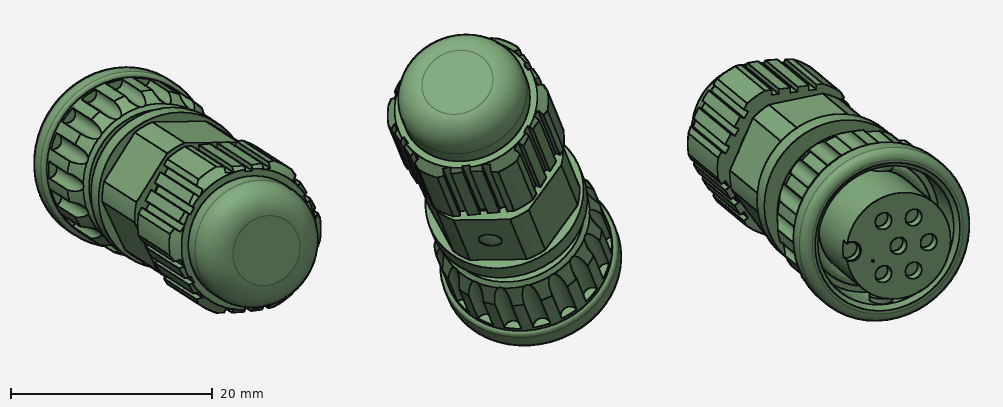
import cadquery as cq
import math

LENGTH = 43.2

MARK_HEIGHT = 0.2
MARK_RADIUS = 0.1
MARK_Y = 2.75
MARK_Z = -1.2
FACE_X = MARK_HEIGHT
INSERT_RADIUS = 5.55
CONTACT_RADIUS = 0.85
CONTACT_DEPTH = 1.12
CONTACT_PITCH_RADIUS = 3.2
CIRCLE_PLACES = 6
KEYWAY_RADIUS = 0.95
KEYWAY_Y = 5.0
KEYWAY_DEPTH = 1.0
KEYWAY_CHAMFER = 0.1

RING_FRONT_X = 3.3
BEAD_DIAMETER = 18.0
BEAD_RADIUS = BEAD_DIAMETER / 2
BEAD_ROUND = 1.0
BEAD_REAR_X = 6.25
BEAD_REAR_ROUND = 0.45
GRIP_RADIUS = 8.5
GRIP_TAPER_X = 11.6
GRIP_END_X = 13.82
GRIP_END_RADIUS = 7.7
RING_REAR_X = 14.2
RING_REAR_RADIUS = 7.2
FLUTE_COUNT = 18
FLUTE_RADIUS = 0.85
FLUTE_START_X = 6.75

SOCKET_RADIUS = 7.2
SOCKET_CHAMFER = 0.48
SOCKET_FLOOR_X = 8.0
SEAL_RADIUS = 0.5
PIN_X = 5.05
PIN_RADIUS = 1.15
PIN_TIP_RADIUS = 6.65

NECK_RADIUS = 6.18
FLANGE_X = 16.65
FLANGE_RADIUS = 8.0
HEX_X = 18.65
HEX_END_X = 27.2
HEX_APOTHEM = 7.05
HEX_CORNER_RADIUS = 7.6
HEX_TURN = 5.0
SCREW_X = 22.85
SCREW_RADIUS = 1.15
SCREW_HEIGHT = 0.4
REAR_NECK_RADIUS = 6.05

NUT_X = 29.35
NUT_END_X = 38.6
NUT_APOTHEM = 7.5
NUT_CORNER_RADIUS = 8.1
NUT_END_RADIUS = 7.2
NUT_CHAMFER_LENGTH = 1.0
NUT_GROOVE_WIDTH = 0.78
NUT_GROOVE_PITCH = 2.0
NUT_GROOVE_DEPTH = 0.5

CLAMP_RADIUS = 6.5
CLAMP_ROUND = 2.9

HEX_SIDES = 6
X_AXIS = cq.Vector(1, 0, 0)
ORIGIN = cq.Vector(0, 0, 0)


def rod(x_start, x_end, radius, y=0.0, z=0.0):
    """Cylinder parallel to X between two stations."""
    return cq.Workplane("YZ", origin=(x_start, y, z)).circle(radius).extrude(x_end - x_start)


def turned(profile):
    """Revolve a closed (x, radius) outline about the X axis."""
    return profile.close().revolve(360, (0, 0, 0), (1, 0, 0))


def about_x(shape, angle):
    return shape.rotate(ORIGIN, X_AXIS, angle)


def rounded_hex(x_start, x_end, apothem, corner_radius):
    """Hexagonal bar along X with flats facing +Z and -Z and its corners turned round."""
    corner_diameter = 2 * apothem / math.cos(math.pi / HEX_SIDES)
    bar = (
        cq.Workplane("YZ", origin=(x_start, 0, 0))
        .polygon(HEX_SIDES, corner_diameter)
        .extrude(x_end - x_start)
    )
    return bar.intersect(rod(x_start, x_end, corner_radius))


def make_coupling_ring():
    front_inset = BEAD_ROUND * (1 - math.sqrt(0.5))
    rear_inset = BEAD_REAR_ROUND * (1 - math.sqrt(0.5))
    front_mid = (RING_FRONT_X + front_inset, BEAD_RADIUS - front_inset)
    rear_mid = (BEAD_REAR_X - rear_inset, BEAD_RADIUS - rear_inset)
    ring = turned(
        cq.Workplane("XY")
        .moveTo(RING_FRONT_X, 0)
        .lineTo(RING_FRONT_X, BEAD_RADIUS - BEAD_ROUND)
        .threePointArc(front_mid, (RING_FRONT_X + BEAD_ROUND, BEAD_RADIUS))
        .lineTo(BEAD_REAR_X - BEAD_REAR_ROUND, BEAD_RADIUS)
        .threePointArc(rear_mid, (BEAD_REAR_X, BEAD_RADIUS - BEAD_REAR_ROUND))
        .lineTo(BEAD_REAR_X, GRIP_RADIUS)
        .lineTo(GRIP_TAPER_X, GRIP_RADIUS)
        .lineTo(GRIP_END_X, GRIP_END_RADIUS)
        .lineTo(RING_REAR_X, RING_REAR_RADIUS)
        .lineTo(RING_REAR_X, 0)
    )
    flute = rod(FLUTE_START_X, RING_REAR_X, FLUTE_RADIUS, y=-GRIP_RADIUS)
    for i in range(FLUTE_COUNT):
        ring = ring.cut(about_x(flute, i * 360 / FLUTE_COUNT))
    socket = turned(
        cq.Workplane("XY")
        .moveTo(RING_FRONT_X, 0)
        .lineTo(RING_FRONT_X, SOCKET_RADIUS + SOCKET_CHAMFER)
        .lineTo(RING_FRONT_X + SOCKET_CHAMFER, SOCKET_RADIUS)
        .lineTo(SOCKET_FLOOR_X, SOCKET_RADIUS)
        .lineTo(SOCKET_FLOOR_X, 0)
    )
    return ring.cut(socket)


def make_bayonet_pin(side):
    """Radial pin reaching from the socket wall towards the insert."""
    root_radius = SOCKET_RADIUS + SOCKET_CHAMFER
    return (
        cq.Workplane("XY", origin=(PIN_X, 0, side * PIN_TIP_RADIUS))
        .circle(PIN_RADIUS)
        .extrude(side * (root_radius - PIN_TIP_RADIUS))
    )


def make_seal():
    """O-ring around the insert, half sunk in the socket floor."""
    ring_radius = INSERT_RADIUS + SEAL_RADIUS
    section = cq.Workplane("XY").center(SOCKET_FLOOR_X, ring_radius).circle(SEAL_RADIUS)
    return section.revolve(360, (0, -ring_radius, 0), (1, -ring_radius, 0))


def make_insert():
    insert = rod(FACE_X, RING_REAR_X, INSERT_RADIUS)
    contact_places = [(0.0, 0.0)]
    for i in range(1, CIRCLE_PLACES):
        angle = 2 * math.pi * i / CIRCLE_PLACES
        y = CONTACT_PITCH_RADIUS * math.cos(angle)
        z = CONTACT_PITCH_RADIUS * math.sin(angle)
        contact_places.append((y, z))
    for y, z in contact_places:
        insert = insert.cut(rod(FACE_X, FACE_X + CONTACT_DEPTH, CONTACT_RADIUS, y, z))
    keyway = turned(
        cq.Workplane("XY")
        .moveTo(FACE_X, 0)
        .lineTo(FACE_X, KEYWAY_RADIUS + KEYWAY_CHAMFER)
        .lineTo(FACE_X + KEYWAY_CHAMFER, KEYWAY_RADIUS)
        .lineTo(FACE_X + KEYWAY_DEPTH, KEYWAY_RADIUS)
        .lineTo(FACE_X + KEYWAY_DEPTH, 0)
    )
    insert = insert.cut(keyway.translate((0, KEYWAY_Y, 0)))
    return insert.union(rod(0, 2 * FACE_X, MARK_RADIUS, MARK_Y, MARK_Z))


def make_body():
    body = rod(SOCKET_FLOOR_X, FLANGE_X, NECK_RADIUS)
    body = body.union(rod(FLANGE_X, HEX_X, FLANGE_RADIUS))
    hex_bar = rounded_hex(HEX_X, HEX_END_X, HEX_APOTHEM, HEX_CORNER_RADIUS)
    sphere_radius = (SCREW_RADIUS**2 + SCREW_HEIGHT**2) / (2 * SCREW_HEIGHT)
    dome_depth = HEX_APOTHEM + SCREW_HEIGHT - sphere_radius
    dome = cq.Workplane("XY", origin=(SCREW_X, 0, -dome_depth)).sphere(sphere_radius)
    blank = (
        cq.Workplane("XY", origin=(SCREW_X, 0, 0))
        .circle(SCREW_RADIUS)
        .extrude(-HEX_APOTHEM - SCREW_HEIGHT)
    )
    hex_bar = hex_bar.union(blank.intersect(dome))
    body = body.union(about_x(hex_bar, -HEX_TURN))
    return body.union(rod(HEX_END_X, NUT_X, REAR_NECK_RADIUS))


def make_nut():
    nut = rounded_hex(NUT_X, NUT_END_X, NUT_APOTHEM, NUT_CORNER_RADIUS)
    groove_box = cq.Workplane("XY").box(NUT_END_X - NUT_X, NUT_GROOVE_WIDTH, 2 * NUT_GROOVE_DEPTH)
    groove = groove_box.translate(((NUT_X + NUT_END_X) / 2, 0, NUT_APOTHEM))
    for side in range(HEX_SIDES):
        for step in (-1, 0, 1):
            shifted = groove.translate((0, step * NUT_GROOVE_PITCH, 0))
            nut = nut.cut(about_x(shifted, side * 360 / HEX_SIDES))
    envelope = turned(
        cq.Workplane("XY")
        .moveTo(NUT_X, 0)
        .lineTo(NUT_X, NUT_CORNER_RADIUS)
        .lineTo(NUT_END_X - NUT_CHAMFER_LENGTH, NUT_CORNER_RADIUS)
        .lineTo(NUT_END_X, NUT_END_RADIUS)
        .lineTo(NUT_END_X, 0)
    )
    return nut.intersect(envelope)


def make_clamp():
    return rod(NUT_END_X, LENGTH, CLAMP_RADIUS).faces(">X").edges().fillet(CLAMP_ROUND)


result = make_coupling_ring()
for pin_side in (1, -1):
    result = result.union(make_bayonet_pin(pin_side))
for section in (make_seal(), make_insert(), make_body(), make_nut(), make_clamp()):
    result = result.union(section)